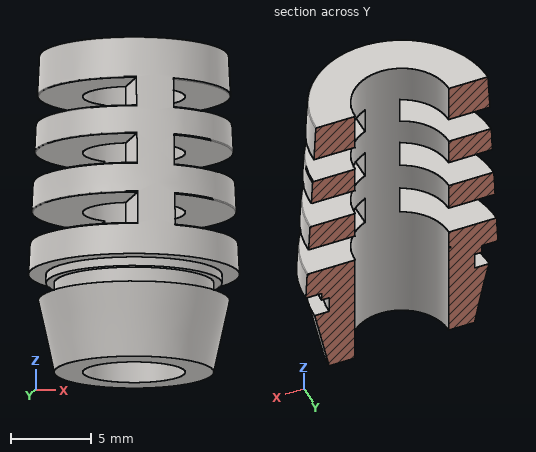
import cadquery as cq

height = 20.2
bore_diameter = 6.4

plug_tip_diameter = 10.0
plug_top_diameter = 12.0
plug_height = 4.59
neck_diameter = 10.0
neck_top = 5.68
collar_diameter = 11.0
collar_top = 6.22

sleeve_bottom_diameter = 13.21
sleeve_top_diameter = 11.84
edge_round = 0.06

web_width = 2.38
slot_levels = [(8.22, 10.18), (12.1, 13.98), (15.8, 17.57)]


def make_lower_end():
    """Solid of revolution for the plug, neck and collar."""
    profile = (
        cq.Workplane("XZ")
        .lineTo(plug_tip_diameter / 2, 0)
        .lineTo(plug_top_diameter / 2, plug_height)
        .lineTo(neck_diameter / 2, plug_height)
        .lineTo(neck_diameter / 2, neck_top)
        .lineTo(collar_diameter / 2, neck_top)
        .lineTo(collar_diameter / 2, collar_top)
        .lineTo(0, collar_top)
        .close()
    )
    return profile.revolve(360, (0, 0, 0), (0, 1, 0))


def make_sleeve():
    """Tapered cylinder with a rounded top rim."""
    sleeve = (
        cq.Workplane("XY", origin=(0, 0, collar_top))
        .circle(sleeve_bottom_diameter / 2)
        .workplane(offset=height - collar_top)
        .circle(sleeve_top_diameter / 2)
        .loft(ruled=True)
    )
    return sleeve.faces(">Z").edges().fillet(edge_round)


def make_side_slot(side, bottom, top):
    """Block that opens one slot on the +X (side = 1) or -X (side = -1) half."""
    depth = sleeve_bottom_diameter
    center_x = side * (web_width + depth) / 2
    return (
        cq.Workplane("XY", origin=(center_x, 0, bottom))
        .box(depth, 2 * depth, top - bottom, centered=(True, True, False))
    )


def round_slot_rims(sleeve):
    """Round the outer arcs where the slot floors and ceilings meet the sleeve."""
    for bottom, top in slot_levels:
        for level in (bottom, top):
            rim_zone = cq.selectors.BoxSelector(
                (-sleeve_bottom_diameter, -sleeve_bottom_diameter, level - edge_round),
                (sleeve_bottom_diameter, sleeve_bottom_diameter, level + edge_round),
            )
            sleeve = sleeve.edges(rim_zone).edges("%CIRCLE").fillet(edge_round)
    return sleeve


sleeve = make_sleeve()
for bottom, top in slot_levels:
    for side in (-1, 1):
        sleeve = sleeve.cut(make_side_slot(side, bottom, top))
sleeve = round_slot_rims(sleeve)

bore = cq.Workplane("XY").circle(bore_diameter / 2).extrude(height)
result = make_lower_end().union(sleeve).cut(bore)